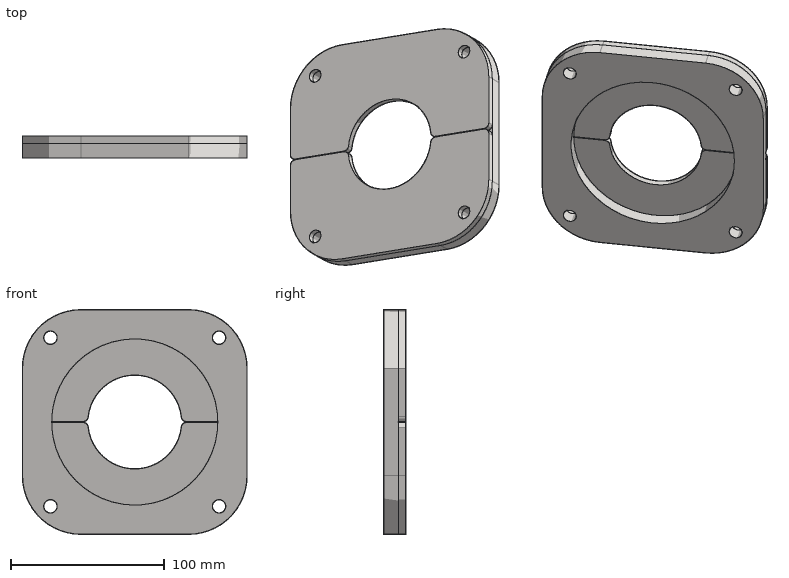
import cadquery as cq

SIDE = 146.0
CORNER_RADIUS = 38.1

TOTAL_THICKNESS = 14.3
FRAME_THICKNESS = 9.5
SPLIT_PLATE_THICKNESS = TOTAL_THICKNESS - FRAME_THICKNESS

FRAME_BORE_DIAMETER = 108.0
CENTER_HOLE_DIAMETER = 60.8

SCREW_HOLE_DIAMETER = 8.5
SCREW_HOLE_SPACING = 109.5

SPLIT_GAP = 0.5
GAP_CORNER_RADIUS = 3.4

FRAME_FRONT_Y = 0.0
SPLIT_PLATE_FRONT_Y = FRAME_FRONT_Y + FRAME_THICKNESS


def workplane_at(y):
    """XZ sketch plane at the given Y; positive extrusion goes toward -Y."""
    return cq.Workplane("XZ", origin=(0, y, 0))


def drilled_plate(front_y, thickness, opening_diameter):
    """Rounded square plate with a round central opening and four screw holes."""
    plate = (
        workplane_at(front_y)
        .rect(SIDE, SIDE)
        .extrude(-thickness)
        .edges("|Y")
        .fillet(CORNER_RADIUS)
    )
    opening = workplane_at(front_y).circle(opening_diameter / 2).extrude(-thickness)
    screw_holes = (
        workplane_at(front_y)
        .rect(SCREW_HOLE_SPACING, SCREW_HOLE_SPACING, forConstruction=True)
        .vertices()
        .circle(SCREW_HOLE_DIAMETER / 2)
        .extrude(-thickness)
    )
    return plate.cut(opening).cut(screw_holes)


def make_frame():
    """Front frame with the large bore."""
    return drilled_plate(FRAME_FRONT_Y, FRAME_THICKNESS, FRAME_BORE_DIAMETER)


def make_half_plate(direction):
    """Half of the split plate: direction is +1 for the upper half, -1 for the lower."""
    plate = drilled_plate(SPLIT_PLATE_FRONT_Y, SPLIT_PLATE_THICKNESS, CENTER_HOLE_DIAMETER)
    half_height = (SIDE - SPLIT_GAP) / 2
    half_center_z = direction * (SPLIT_GAP / 2 + half_height / 2)
    half_region = (
        workplane_at(SPLIT_PLATE_FRONT_Y)
        .center(0, half_center_z)
        .rect(SIDE, half_height)
        .extrude(-SPLIT_PLATE_THICKNESS)
    )
    half = plate.intersect(half_region)

    gap_face = "<Z" if direction > 0 else ">Z"
    return half.faces(gap_face).edges("|Y").fillet(GAP_CORNER_RADIUS)


frame = make_frame()
half_plates = [make_half_plate(direction) for direction in (1, -1)]

half_solids = [half.solids().val() for half in half_plates]

result = cq.Compound.makeCompound([frame.solids().val(), *half_solids])